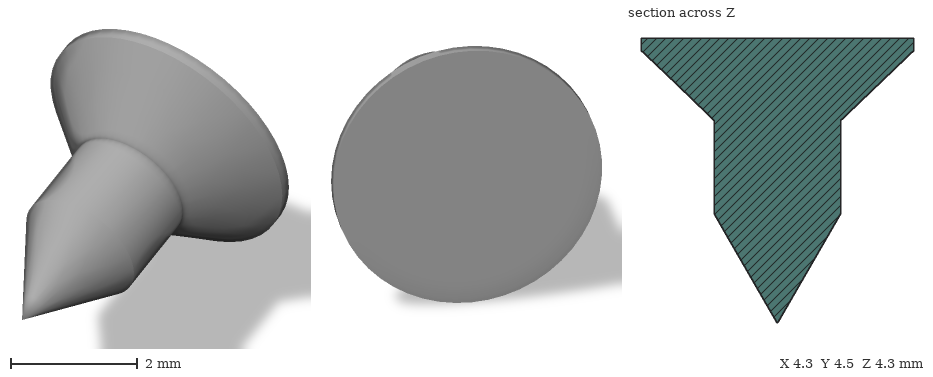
import cadquery as cq
import math

total_length = 4.5
head_radius = 4.3 / 2
shank_radius = 1.0
rim_thickness = 0.2
head_height = 1.3
tip_half_angle = 30.0

tip_length = shank_radius / math.tan(math.radians(tip_half_angle))
tip_start = tip_length - total_length

half_profile = [
    (0, 0),
    (head_radius, 0),
    (head_radius, -rim_thickness),
    (shank_radius, -head_height),
    (shank_radius, tip_start),
    (0, -total_length),
]

result = (
    cq.Workplane("XY")
    .polyline(half_profile)
    .close()
    .revolve(360, (0, 0, 0), (0, 1, 0))
)